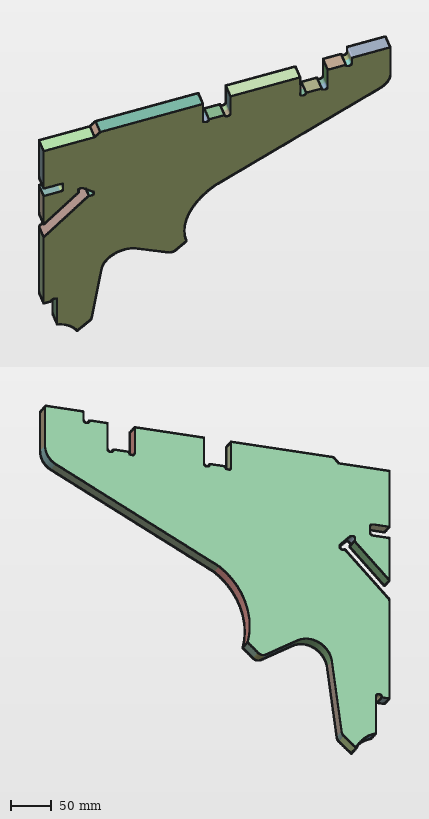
import cadquery as cq
import math

thickness = 18.0
length = 450.0
height = 397.0
relief_radius = 3.82

shelf_z = 386.0
lip_y = 399.5
lip_corner_radius = 2.0
back_top_z = 379.0
step_end_y = 66.0
step_start_y = step_end_y + shelf_z - back_top_z

pocket_width = 35.5
pocket_floor_z = 352.0
pocket_centers_y = (350.5, 224.5)

back_slot_depth = 25.0
back_slot_bottom_z = 289.0
back_slot_width = 15.0
back_slot_radius = 3.0
diagonal_slot_width = thickness
diagonal_slot_top_z = 231.8
diagonal_slot_reach = 51.5

heel_z = 73.5
heel_y = 17.5
foot_back_z = 24.0
foot_arc_mid = (32.5, 15.5)
foot_tip = (43.0, 0.0)
toe = (62.0, 15.8)
toe_radius = 9.0

arch_peak = (81.5, 156.5)
arch_radius = 29.5
lobe = (167.0, 104.0)
lobe_radius = 8.5
hook_tip = (185.5, 120.0)
hook_arc_mid = (190.0, 177.5)
hook_arc_end = (222.5, 216.0)

nose_z = 327.0
nose_radius = 25.0


def extrude(sketch):
    """Extrude a YZ sketch to both sides of the plate's middle plane."""
    return sketch.extrude(thickness / 2, both=True)


def relief(y, z):
    """Round corner relief centered on a point of the profile."""
    return extrude(cq.Workplane("YZ").center(y, z).circle(relief_radius))


def round_corner(body, y, z, radius):
    """Round the profile corner at the given point."""
    corner = cq.selectors.NearestToPointSelector((0, y, z))
    return body.edges("|X").edges(corner).fillet(radius)


def make_plate():
    outline = (
        cq.Workplane("YZ")
        .moveTo(0, heel_z)
        .lineTo(heel_y, heel_z)
        .lineTo(heel_y, foot_back_z)
        .threePointArc(foot_arc_mid, foot_tip)
        .lineTo(*toe)
        .lineTo(*arch_peak)
        .lineTo(*lobe)
        .lineTo(*hook_tip)
        .threePointArc(hook_arc_mid, hook_arc_end)
        .lineTo(length, nose_z)
        .lineTo(length, height)
        .lineTo(lip_y, height)
        .lineTo(lip_y, shelf_z)
        .lineTo(step_start_y, shelf_z)
        .lineTo(step_end_y, back_top_z)
        .lineTo(0, back_top_z)
        .close()
    )
    body = extrude(outline)
    rounded_corners = (
        (*toe, toe_radius),
        (*arch_peak, arch_radius),
        (*lobe, lobe_radius),
        (length, nose_z, nose_radius),
        (length, height, lip_corner_radius),
        (lip_y, height, lip_corner_radius),
    )
    for y, z, radius in rounded_corners:
        body = round_corner(body, y, z, radius)
    return body


def top_pocket(center_y):
    """Open pocket with a relief at each end of its floor."""
    depth = shelf_z - pocket_floor_z
    middle_z = pocket_floor_z + depth / 2
    cutter = extrude(cq.Workplane("YZ").center(center_y, middle_z).rect(pocket_width, depth))
    relief_offset = pocket_width / 2 - relief_radius
    for side in (-1, 1):
        cutter = cutter.union(relief(center_y + side * relief_offset, pocket_floor_z))
    return cutter


def back_slot():
    """Straight slot with rounded inner corners."""
    middle_z = back_slot_bottom_z + back_slot_width / 2
    slot = extrude(cq.Workplane("YZ").center(0, middle_z).rect(2 * back_slot_depth, back_slot_width))
    return slot.edges("|X").fillet(back_slot_radius)


def diagonal_slot():
    """45 degree slot with a relief on each side wall next to its floor."""
    edge_drop = diagonal_slot_width * math.sqrt(2)
    floor_shift = edge_drop / 2
    upper_end = (diagonal_slot_reach, diagonal_slot_top_z + diagonal_slot_reach)
    lower_end = (upper_end[0] + floor_shift, upper_end[1] - floor_shift)
    cutter = extrude(
        cq.Workplane("YZ").polyline(
            [
                (0, diagonal_slot_top_z),
                upper_end,
                lower_end,
                (0, diagonal_slot_top_z - edge_drop),
            ]
        ).close()
    )
    inset = relief_radius / math.sqrt(2)
    for y, z in (upper_end, lower_end):
        cutter = cutter.union(relief(y - inset, z - inset))
    return cutter


result = make_plate()
for pocket_y in pocket_centers_y:
    result = result.cut(top_pocket(pocket_y))
result = result.cut(back_slot()).cut(diagonal_slot())
result = result.cut(relief(lip_y - relief_radius, shelf_z))
result = result.cut(relief(heel_y - relief_radius, heel_z))